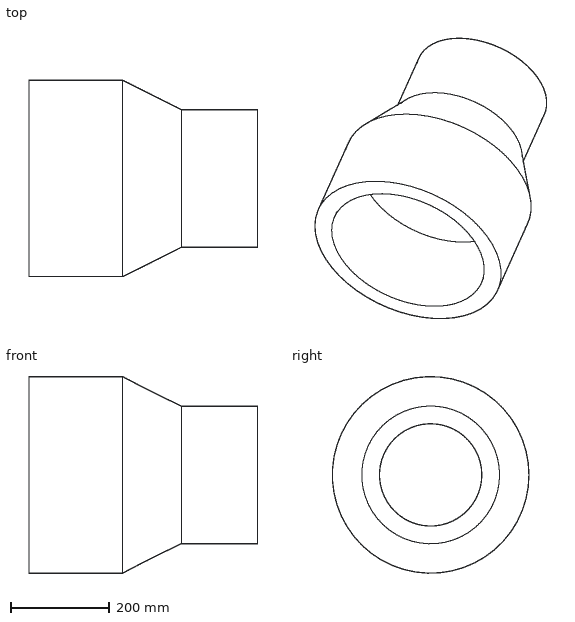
import cadquery as cq
import math

total_length = 465.0
wide_length = 190.5
narrow_length = 155.0
wide_outer_diameter = 400.0
narrow_outer_diameter = 280.0
wall_thickness = 36.5

wide_end = -total_length / 2
narrow_end = total_length / 2
taper_start = wide_end + wide_length
taper_end = narrow_end - narrow_length

taper_angle = math.atan2((wide_outer_diameter - narrow_outer_diameter) / 2, taper_end - taper_start)
bore_taper_shift = wall_thickness * math.tan(taper_angle / 2)


def stepped_taper(wide_radius, narrow_radius, cone_start, cone_end):
    """Solid of revolution about X: wide cylinder, cone, narrow cylinder."""
    profile = [
        (wide_end, 0),
        (wide_end, wide_radius),
        (cone_start, wide_radius),
        (cone_end, narrow_radius),
        (narrow_end, narrow_radius),
        (narrow_end, 0),
    ]
    return cq.Workplane("XY").polyline(profile).close().revolve(360, (0, 0, 0), (1, 0, 0))


outer_body = stepped_taper(
    wide_outer_diameter / 2,
    narrow_outer_diameter / 2,
    taper_start,
    taper_end,
)
bore = stepped_taper(
    wide_outer_diameter / 2 - wall_thickness,
    narrow_outer_diameter / 2 - wall_thickness,
    taper_start - bore_taper_shift,
    taper_end - bore_taper_shift,
)
result = outer_body.cut(bore)